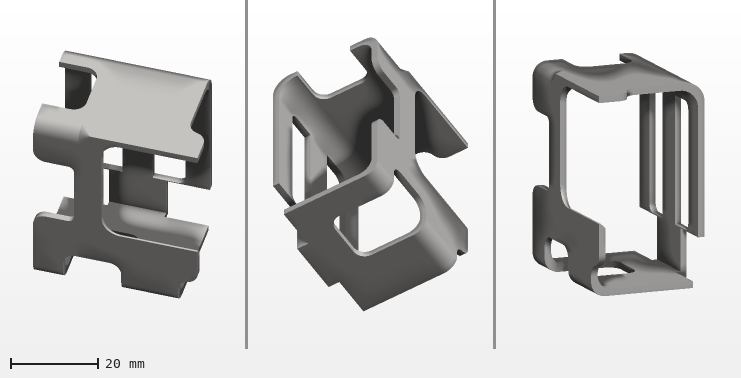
import cadquery as cq
import math

length = 39.2
depth = 28.2
height = 48.2
sheet = 1.6
body_length = 34.5

back_bend = 4.55
front_bend = 3.5

corner = 3.0
small_corner = 1.5

round_end = 10.7
round_tip = 13.6
tip_size = 0.025

side_window_x = 9.75
side_window_bottom = 19.7
side_window_top = 37.15
main_window_x = 16.3
main_window_bottom = 18.15
main_window_corner = back_bend
window_lip = 0.5
notch_left = 7.15
notch_right = 21.0
notch_top = 8.95
notch_depth = 17.7

top_notch_front = 7.4
top_notch_back = 21.6

lug_step = 7.9

slot_outer = 5.8
slot_inner = 13.7
slot_bottom = 12.0
slot_top = 42.35
slot_corner = 2.0
tab_start = 10.45
tab_shoulder = 11.75
floor_back = 25.3


def box(x0, x1, y0, y1, z0, z1):
    """Box between two opposite corners."""
    return cq.Workplane("XY").box(x1 - x0, y1 - y0, z1 - z0, centered=False).translate((x0, y0, z0))


def round_remover(radius):
    """Closed outline between the sharp top front corner and its round."""
    mid = radius * (1 - math.sqrt(0.5))
    return (
        cq.Workplane("YZ")
        .moveTo(0, height)
        .lineTo(radius, height)
        .threePointArc((mid, height - mid), (0, height - radius))
        .close()
    )


def make_shell():
    """Full-length tube with its bends; the top front edge stays sharp outside."""
    outer = box(0, length, 0, depth, 0, height)
    outer = outer.edges("|X and >Y and >Z").fillet(back_bend)
    outer = outer.edges("|X and <Y and <Z").fillet(front_bend)
    inner = box(0, length, sheet, depth - sheet, sheet, height - sheet)
    inner = inner.edges("|X and >Y and >Z").fillet(back_bend)
    inner = inner.edges("|X and <Y").fillet(front_bend)
    return outer.cut(inner)


def cut_corner_round(body):
    """Round the top front corner, fading into the sharp edge."""
    straight = round_remover(front_bend).extrude(round_end)
    large = round_remover(front_bend).val().moved(cq.Location(cq.Vector(round_end, 0, 0)))
    small = round_remover(tip_size).val().moved(cq.Location(cq.Vector(round_tip, 0, 0)))
    run_out = cq.Solid.makeLoft([large, small], True)
    return body.cut(straight).cut(cq.Workplane(run_out))


def lug_profile(plane, far):
    """Area beyond the body length, bounded by the S-shaped flank of a lug."""
    half_width = (length - body_length) / 2
    angle = math.acos(1 - half_width / corner)
    half_run = corner * math.sin(angle)
    bow_x = corner * (1 - math.cos(angle / 2))
    bow_run = corner * math.sin(angle / 2)
    step_x = body_length + half_width
    direction = 1 if far > lug_step else -1
    convex_end = lug_step - direction * half_run
    concave_end = lug_step + direction * half_run
    return (
        cq.Workplane(plane)
        .moveTo(length, convex_end)
        .threePointArc((length - bow_x, convex_end + direction * bow_run), (step_x, lug_step))
        .threePointArc((body_length + bow_x, concave_end - direction * bow_run), (body_length, concave_end))
        .lineTo(body_length, far)
        .lineTo(length, far)
        .close()
    )


def trim_lugs(body):
    """Shorten the tube to the body length except at the two front lugs."""
    top_trim = lug_profile("XY", depth).extrude(height)
    top_trim = top_trim.intersect(box(0, length, 0, depth, height / 2, height))
    front_trim = lug_profile("XZ", 0).extrude(-depth)
    rear_trim = box(body_length, length, sheet, depth, 0, height - sheet)
    return body.cut(top_trim).cut(front_trim).cut(rear_trim)


def cut_front_wall(body):
    """Cut the side window, the main window with its sloping sill, and the bottom notch."""
    bend_depth = sheet + front_bend

    side = box(0, side_window_x, 0, bend_depth, side_window_bottom, side_window_top)
    side = side.edges("|Y and >X").fillet(small_corner)
    mouth = box(0, corner, 0, bend_depth, side_window_bottom - corner, side_window_top + corner)
    for z in (side_window_bottom - corner, side_window_top + corner):
        lip = cq.Workplane("XZ").center(corner, z).circle(corner).extrude(-bend_depth)
        mouth = mouth.cut(lip)

    main = box(main_window_x, length, 0, bend_depth, main_window_bottom, height - sheet)
    main = main.edges("|Y and <X").fillet(main_window_corner)

    drop = sheet - window_lip
    outline = main.faces("<Y").wires().val()
    sill_start = outline.moved(cq.Location(cq.Vector(0, window_lip, 0)))
    sill_end = outline.moved(cq.Location(cq.Vector(0, sheet, -drop)))
    sill = cq.Workplane(cq.Solid.makeLoft([sill_start, sill_end], True))

    notch = box(notch_left, notch_right, 0, notch_depth, 0, notch_top)
    wall_part = notch.edges("|Y and >Z").fillet(corner)
    floor_part = notch.edges("|Z and >Y").fillet(corner)
    return body.cut(side).cut(mouth).cut(main).cut(sill).cut(wall_part.intersect(floor_part))


def cut_top_plate(body):
    """Cut the open-sided notch in the top plate."""
    notch = box(0, side_window_x, top_notch_front, top_notch_back, height / 2, height)
    return body.cut(notch.edges("|Z and >X").fillet(corner))


def cut_back_wall(body):
    """Cut both slots and the clearances beside the lower tab."""
    slot = box(slot_outer, slot_inner, depth - sheet - back_bend, depth, slot_bottom, slot_top)
    slot = slot.edges("|Y and <X").fillet(slot_corner)
    clearance = box(0, tab_start, floor_back, depth, 0, tab_shoulder)
    for cutter in (slot, clearance):
        mirrored = cutter.mirror("YZ").translate((body_length, 0, 0))
        body = body.cut(cutter).cut(mirrored)
    return body


result = make_shell()
result = cut_corner_round(result)
result = trim_lugs(result)
result = cut_front_wall(result)
result = cut_top_plate(result)
result = cut_back_wall(result)